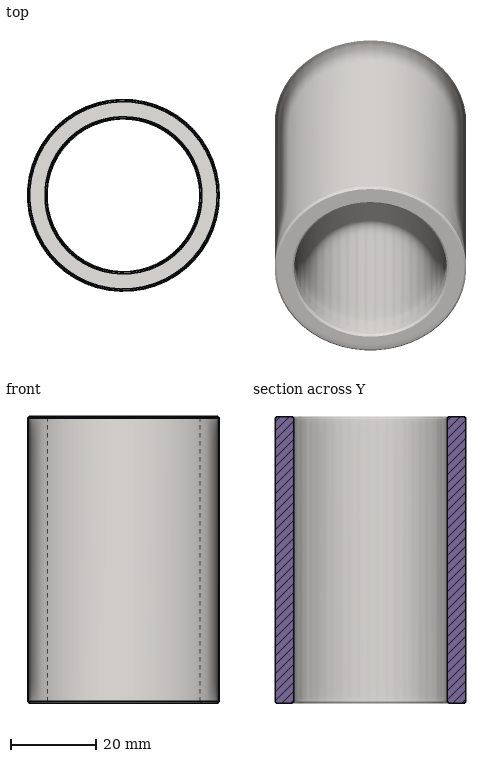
import cadquery as cq

length = 67.5
outer_diameter = 45.0
bore_diameter = 36.0
edge_chamfer = 0.5

sleeve = (
    cq.Workplane("XY")
    .circle(outer_diameter / 2)
    .circle(bore_diameter / 2)
    .extrude(length)
)

result = sleeve.faces("<Z or >Z").edges().chamfer(edge_chamfer)